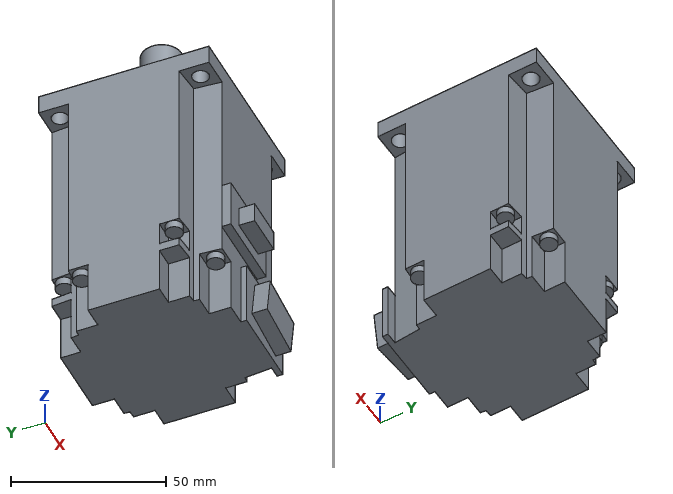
import cadquery as cq


width = 60.0
half_width = width / 2
flange_top = 98.5
flange_thickness = 7.0
hole_diameter = 5.8
hole_spacing = 49.5
pilot_diameter = 50.0
pilot_height = 3.0
shaft_diameter = 14.0
shaft_length = 27.0
flange_bottom = flange_top - flange_thickness

notch_mouth = 19.5
notch_root = 20.3

pocket_start = 12.6
low_pocket_depth = 7.7
high_pocket_depth = 7.1
low_pocket_top = 19.7
high_pocket_top = 28.0
shelf_bottom = 16.6

head_diameter = 5.9
head_height = 2.7
head_side_offset = 16.5
low_head_offset = 26.3
high_head_offset = 27.0

upper_x = -5.9
upper_plate_width = 27.9
upper_plate_height = 17.7
upper_plate_thickness = 3.2
upper_plate_z = 37.8
upper_plug_width = 15.2
upper_plug_height = 7.3
upper_plug_z = 37.1
upper_plug_reach = 8.7

lower_plate_x = 9.5
lower_plate_width = 28.7
lower_plate_height = 23.5
lower_plate_thickness = 2.0
lower_plug_x = 9.9
lower_plug_z = 11.8
lower_plug_width = 19.0
lower_plug_height = 14.1
lower_plug_tilt = 9.3
lower_plug_reach = 7.5

quarter_turns = (0, 90, 180, 270)
CONNECTOR_CORNER = 90


def block(x_range, y_range, z_range):
    """Box between the given limits."""
    sizes = [high - low for low, high in (x_range, y_range, z_range)]
    return cq.Workplane("XY").box(*sizes, centered=False).translate((x_range[0], y_range[0], z_range[0]))


def about_axis(shape, angle):
    """Shape turned about the shaft axis."""
    return shape.rotate((0, 0, 0), (0, 0, 1), angle)


def front_end():
    """Drilled flange with pilot disc and shaft."""
    flange = (
        cq.Workplane("XY", origin=(0, 0, flange_bottom))
        .rect(width, width)
        .extrude(flange_thickness)
        .faces(">Z")
        .workplane()
        .rect(hole_spacing, hole_spacing, forConstruction=True)
        .vertices()
        .hole(hole_diameter)
    )
    pilot = cq.Workplane("XY", origin=(0, 0, flange_top)).circle(pilot_diameter / 2).extrude(pilot_height)
    shaft_base = flange_top + pilot_height
    shaft = cq.Workplane("XY", origin=(0, 0, shaft_base)).circle(shaft_diameter / 2).extrude(shaft_length)
    return flange.union(pilot).union(shaft)


def housing():
    """Square column with a flared notch along each corner."""
    column = cq.Workplane("XY").rect(width, width).extrude(flange_bottom)
    notch = (
        cq.Workplane("XY")
        .moveTo(-notch_root, -notch_root)
        .lineTo(-half_width, -notch_mouth)
        .lineTo(-half_width, -half_width)
        .lineTo(-notch_mouth, -half_width)
        .close()
        .extrude(flange_bottom)
    )
    for angle in quarter_turns:
        column = column.cut(about_axis(notch, angle))
    return column


def screw_head(x, y, ceiling):
    """Round head hanging from a pocket ceiling."""
    return cq.Workplane("XY", origin=(x, y, ceiling)).circle(head_diameter / 2).extrude(-head_height)


def add_screw_pockets(body):
    """Cut the pockets beside each notch and hang a screw head in each."""
    side_range = (-notch_root, -pocket_start)
    low_pocket = block(side_range, (-half_width, low_pocket_depth - half_width), (0, low_pocket_top))
    low_head = screw_head(-head_side_offset, -low_head_offset, low_pocket_top)

    high_range = (-half_width, high_pocket_depth - half_width)
    high_pocket = block(high_range, side_range, (low_pocket_top, high_pocket_top))
    under_shelf = block(high_range, side_range, (0, shelf_bottom))
    high_head = screw_head(-high_head_offset, -head_side_offset, high_pocket_top)

    for angle in quarter_turns:
        body = body.cut(about_axis(low_pocket, angle)).union(about_axis(low_head, angle))
        if angle != CONNECTOR_CORNER:
            body = body.cut(about_axis(high_pocket, angle)).cut(about_axis(under_shelf, angle))
            body = body.union(about_axis(high_head, angle))
    return body


def side_pad(x, z, pad_width, pad_height, reach, tilt=0):
    """Rectangular pad standing out from the -Y side."""
    return (
        cq.Workplane("XZ", origin=(x, -half_width, z))
        .transformed(rotate=(0, 0, -tilt))
        .rect(pad_width, pad_height)
        .extrude(reach)
    )


def upper_connector():
    plate = side_pad(upper_x, upper_plate_z, upper_plate_width, upper_plate_height, upper_plate_thickness)
    plug = side_pad(upper_x, upper_plug_z, upper_plug_width, upper_plug_height, upper_plug_reach)
    return plate.union(plug)


def lower_connector():
    plate_z = lower_plate_height / 2
    plate = side_pad(lower_plate_x, plate_z, lower_plate_width, lower_plate_height, lower_plate_thickness)
    plug = side_pad(
        lower_plug_x, lower_plug_z, lower_plug_width, lower_plug_height, lower_plug_reach, lower_plug_tilt
    )
    return plate.union(plug)


result = add_screw_pockets(housing()).union(front_end()).union(upper_connector()).union(lower_connector())